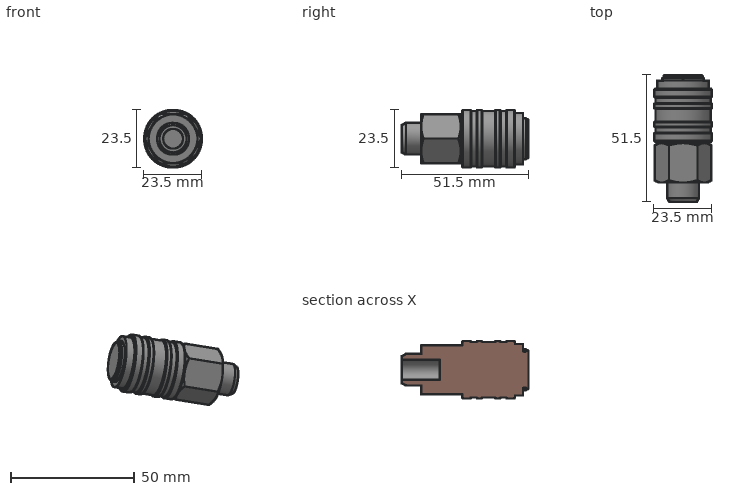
import cadquery as cq
import math

LENGTH = 51.5

SPIGOT_RADIUS = 6.5
SPIGOT_TIP_RADIUS = 5.5
SPIGOT_CHAMFER_LENGTH = 1.75
BORE_RADIUS = 4.0
BORE_DEPTH = 15.45

HEX_START = 7.95
HEX_END = 24.0
HEX_ACROSS_FLATS = 20.0
HEX_CORNER_RADIUS = HEX_ACROSS_FLATS / math.sqrt(3)
HEX_FACE_RADIUS = 9.9
HEX_CHAMFER_ANGLE = 30.0
NECK_RADIUS = HEX_FACE_RADIUS

GRIP_START = 24.5
GRIP_END = 46.05
GRIP_RADIUS = 11.75
GRIP_CHAMFER = 0.45
GROOVE_RADIUS = GRIP_RADIUS - GRIP_CHAMFER
GROOVE_FLOORS = [(28.3, 30.35), (32.8, 37.8), (40.25, 42.35)]

SHOULDER_RADIUS = 10.5
SHOULDER_END = 49.35
CAP_RADIUS = 8.05
CAP_CHAMFER = 0.5

WIRE_RADIUS = 0.55
RING_RADIUS = 7.95
RING_CENTER = SHOULDER_END + WIRE_RADIUS
RING_GAP = 0.5


def cylinder(radius, start, end):
    """Solid cylinder along +Y between two stations."""
    return cq.Workplane("XZ", origin=(0, start, 0)).circle(radius).extrude(start - end)


def turned(points):
    """Revolve a closed (radius, Y) outline about the Y axis."""
    return cq.Workplane("XY").polyline(points).close().revolve(360, (0, 0), (0, 1))


def wire_torus():
    """Full ring of round wire, lying against the shoulder."""
    section = cq.Workplane("XY").center(RING_RADIUS, RING_CENTER).circle(WIRE_RADIUS)
    return section.revolve(360, (-RING_RADIUS, 0), (-RING_RADIUS, 1))


def make_spigot():
    spigot = turned([
        (0, 0),
        (SPIGOT_TIP_RADIUS, 0),
        (SPIGOT_RADIUS, SPIGOT_CHAMFER_LENGTH),
        (SPIGOT_RADIUS, HEX_START),
        (0, HEX_START),
    ])
    return spigot


def make_hexagon():
    """Hexagon with its corners trimmed by a cone at both ends."""
    prism = (
        cq.Workplane("XZ", origin=(0, HEX_START, 0))
        .polygon(6, 2 * HEX_CORNER_RADIUS)
        .extrude(HEX_START - HEX_END)
    )
    trim_radius = HEX_CORNER_RADIUS + 0.5
    trim_length = (trim_radius - HEX_FACE_RADIUS) * math.tan(math.radians(HEX_CHAMFER_ANGLE))
    trim = turned([
        (0, HEX_START),
        (HEX_FACE_RADIUS, HEX_START),
        (trim_radius, HEX_START + trim_length),
        (trim_radius, HEX_END - trim_length),
        (HEX_FACE_RADIUS, HEX_END),
        (0, HEX_END),
    ])
    return prism.intersect(trim)


def make_grip():
    """Chamfered drum whose grooves have sloping sides."""
    outline = [(0, GRIP_START), (GROOVE_RADIUS, GRIP_START), (GRIP_RADIUS, GRIP_START + GRIP_CHAMFER)]
    for floor_start, floor_end in GROOVE_FLOORS:
        outline += [
            (GRIP_RADIUS, floor_start - GRIP_CHAMFER),
            (GROOVE_RADIUS, floor_start),
            (GROOVE_RADIUS, floor_end),
            (GRIP_RADIUS, floor_end + GRIP_CHAMFER),
        ]
    outline += [(GRIP_RADIUS, GRIP_END - GRIP_CHAMFER), (GROOVE_RADIUS, GRIP_END), (0, GRIP_END)]
    return turned(outline)


def make_cap():
    """Chamfered end cap with a seat for the snap ring."""
    cap = cylinder(CAP_RADIUS, SHOULDER_END, LENGTH).faces(">Y").chamfer(CAP_CHAMFER)
    seat = cylinder(CAP_RADIUS, SHOULDER_END, RING_CENTER + WIRE_RADIUS).cut(
        cylinder(RING_RADIUS, SHOULDER_END, RING_CENTER + WIRE_RADIUS)
    )
    return cap.cut(seat).cut(wire_torus())


def make_coupling():
    """Spigot, hexagon, neck, grip, shoulder and cap as one solid."""
    body = (
        make_spigot()
        .union(make_hexagon())
        .union(cylinder(NECK_RADIUS, HEX_END, GRIP_START))
        .union(make_grip())
        .union(cylinder(SHOULDER_RADIUS, GRIP_END, SHOULDER_END))
        .union(make_cap())
    )
    return body.cut(cylinder(BORE_RADIUS, 0, BORE_DEPTH))


def make_snap_ring():
    """Wire ring with a narrow gap on its +Z side."""
    gap = cq.Workplane("XY").box(RING_GAP, 4 * WIRE_RADIUS, 4 * WIRE_RADIUS)
    return wire_torus().cut(gap.translate((0, RING_CENTER, RING_RADIUS)))


coupling = make_coupling()
snap_ring = make_snap_ring()
result = cq.Compound.makeCompound([coupling.val(), snap_ring.val()])